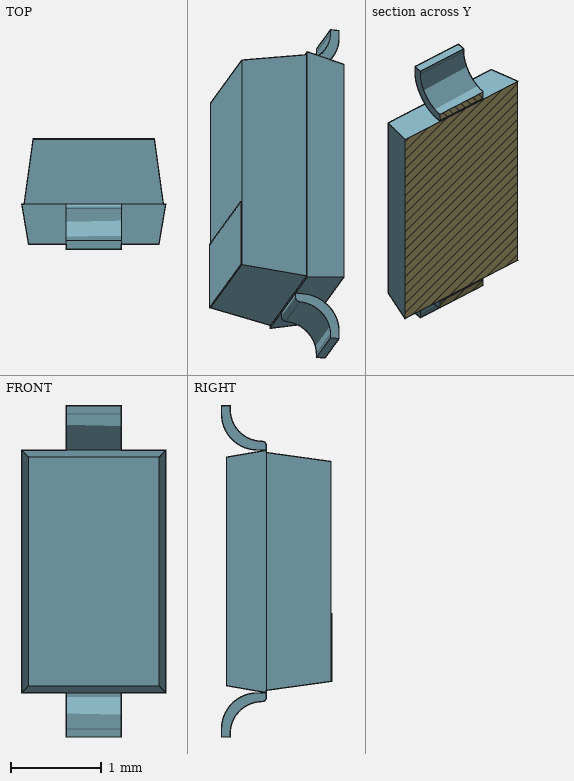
import cadquery as cq
import math

front_base_width = 1.6
front_base_height = 2.695
front_face_width = 1.45
front_face_height = 2.54
front_depth = 0.445

back_inset = 0.025
back_base_width = front_base_width - 2 * back_inset
back_base_height = front_base_height - 2 * back_inset
back_face_width = 1.35
back_face_height = 2.445
back_depth = 0.718

band_thickness = 0.01
band_height = 0.755

overall_height = 3.68
lead_width = 0.61
lead_thickness = 0.1
lead_reach = 0.5
lead_tip_length = 0.092
lead_root_radius = lead_thickness / 2
lead_root_z = front_base_height / 2
lead_tip_z = overall_height / 2
outer_bend_top_z = lead_tip_z - lead_tip_length
outer_bend_radius = outer_bend_top_z - lead_root_z
lead_tip_back_y = lead_thickness - lead_reach
inner_bend_radius = -lead_root_radius - lead_tip_back_y


def make_housing_half(base_width, base_height, face_width, face_height, face_y):
    """Frustum from the parting plane to a smaller rectangular face at y = face_y."""
    return (
        cq.Workplane("XZ")
        .rect(base_width, base_height)
        .workplane(offset=-face_y)
        .rect(face_width, face_height)
        .loft(ruled=True, combine=True)
    )


def make_polarity_band():
    """Plate across the full width of the back face, flush with its lower edge."""
    return cq.Workplane("XY").box(
        back_face_width, band_thickness, band_height, centered=(True, False, False)
    ).translate((0, back_depth, -back_face_height / 2))


def make_upper_lead():
    """Strip that leaves the housing toward -Y and bends up through a right angle."""
    root_top_z = lead_root_z + lead_thickness
    root_arc_center_z = root_top_z - lead_root_radius
    inner_bend_top_z = root_top_z + inner_bend_radius
    outer_bend_root_y = outer_bend_radius - lead_reach
    diagonal = math.sqrt(0.5)
    outer_bend_midpoint = (
        outer_bend_root_y - outer_bend_radius * diagonal,
        outer_bend_top_z - outer_bend_radius * diagonal,
    )
    inner_bend_midpoint = (
        -lead_root_radius - inner_bend_radius * diagonal,
        inner_bend_top_z - inner_bend_radius * diagonal,
    )
    root_arc_midpoint = (
        lead_root_radius * (diagonal - 1),
        root_arc_center_z + lead_root_radius * diagonal,
    )
    return (
        cq.Workplane("YZ")
        .moveTo(0, lead_root_z)
        .lineTo(outer_bend_root_y, lead_root_z)
        .threePointArc(outer_bend_midpoint, (-lead_reach, outer_bend_top_z))
        .lineTo(-lead_reach, lead_tip_z)
        .lineTo(lead_tip_back_y, lead_tip_z)
        .lineTo(lead_tip_back_y, inner_bend_top_z)
        .threePointArc(inner_bend_midpoint, (-lead_root_radius, root_top_z))
        .threePointArc(root_arc_midpoint, (0, root_arc_center_z))
        .close()
        .extrude(lead_width / 2, both=True)
    )


def make_lead(turn):
    """Lead turned about the Y axis: 0 degrees for the top, 180 for the bottom."""
    return make_upper_lead().rotate((0, 0, 0), (0, 1, 0), turn)


front_half = make_housing_half(
    front_base_width, front_base_height, front_face_width, front_face_height, -front_depth
)
back_half = make_housing_half(
    back_base_width, back_base_height, back_face_width, back_face_height, back_depth
)
polarity_band = make_polarity_band()
leads = [make_lead(turn).val() for turn in (0, 180)]

result = cq.Compound.makeCompound(
    [front_half.val(), back_half.val(), polarity_band.val(), *leads]
)